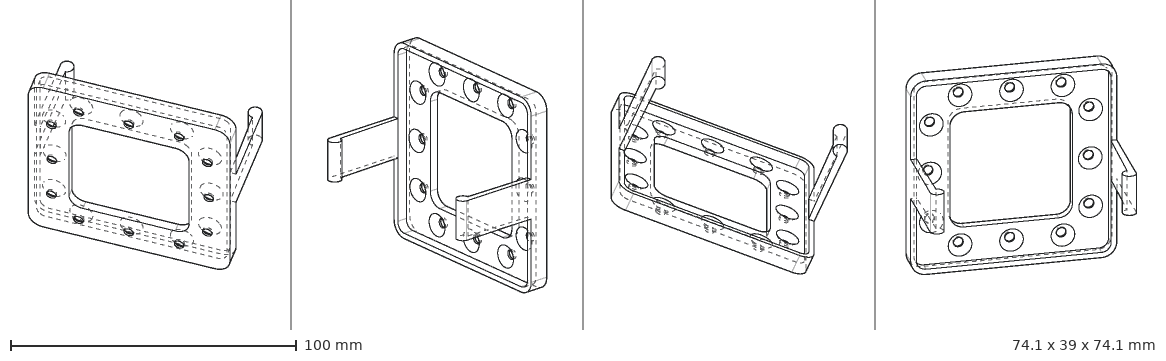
import cadquery as cq

plate_side = 74.1
plate_thickness = 7.2
plate_corner_radius = 5.5

window_side = 44.0
window_corner_radius = 5.0

web_thickness = 3.3
outer_wall = 2.05

hole_diameter = 3.5
countersink_start = 0.8
countersink_diameter = 8.5
hole_pitch = 18.5
row_shift_x = -0.1
top_row_z = 28.5
bottom_row_z = -28.75
column_shift_z = -0.25
left_outer_x = -28.57
left_middle_x = -28.4
right_outer_x = 28.73
right_middle_x = 29.3

overall_depth = 39.0
arm_height = 15.0
arm_root_thickness = 2.15
arm_tip_thickness = 2.75
bead_diameter = 5.0
bead_inset = 2.45

half_side = plate_side / 2
bead_radius = bead_diameter / 2
bead_y = overall_depth - bead_radius


def rounded_square_prism(side, corner_radius):
    """Square block as deep as the plate is thick, with rounded corners."""
    block = cq.Workplane("XY").box(side, plate_thickness, side, centered=(True, False, True))
    return block.edges("|Y").fillet(corner_radius)


def mounting_hole_centres():
    """(X, Z) centres of the twelve mounting holes."""
    centres = []
    for step in (-1, 0, 1):
        along = step * hole_pitch
        centres.append((along + row_shift_x, top_row_z))
        centres.append((along + row_shift_x, bottom_row_z))
        left_x = left_middle_x if step == 0 else left_outer_x
        right_x = right_middle_x if step == 0 else right_outer_x
        centres.append((left_x, along + column_shift_z))
        centres.append((right_x, along + column_shift_z))
    return centres


def mounting_holes():
    """Through holes, each opening into a countersink on the recess side of the web."""
    straight = (
        cq.Workplane("XZ")
        .pushPoints(mounting_hole_centres())
        .circle(hole_diameter / 2)
        .extrude(-web_thickness)
    )
    cone = cq.Solid.makeCone(
        hole_diameter / 2,
        countersink_diameter / 2,
        web_thickness - countersink_start,
        pnt=cq.Vector(0, countersink_start, 0),
        dir=cq.Vector(0, 1, 0),
    )
    holes = straight
    for x, z in mounting_hole_centres():
        holes = holes.union(cq.Workplane("XY").add(cone.translate(cq.Vector(x, 0, z))))
    return holes


def right_arm():
    """Tapered arm with a round bead on its inner tip, trimmed flush with the plate edge."""
    base = cq.Workplane("XY").workplane(offset=-arm_height / 2)
    blade = (
        base.moveTo(half_side, plate_thickness)
        .lineTo(half_side, bead_y)
        .lineTo(half_side - arm_tip_thickness, bead_y)
        .lineTo(half_side - arm_root_thickness, plate_thickness)
        .close()
        .extrude(arm_height)
    )
    bead = base.center(half_side - bead_inset, bead_y).circle(bead_radius).extrude(arm_height)
    envelope = cq.Workplane("XY").box(
        plate_side, overall_depth, plate_side, centered=(True, False, True)
    )
    return blade.union(bead).intersect(envelope)


def back_recess():
    """Square pocket open at the back, leaving the front web and the outer wall."""
    recess_side = plate_side - 2 * outer_wall
    recess = rounded_square_prism(recess_side, plate_corner_radius - outer_wall)
    return recess.translate((0, web_thickness, 0))


frame = rounded_square_prism(plate_side, plate_corner_radius)
frame = frame.cut(back_recess())
frame = frame.cut(rounded_square_prism(window_side, window_corner_radius)).cut(mounting_holes())

arm = right_arm()
result = frame.union(arm).union(arm.mirror("YZ"))